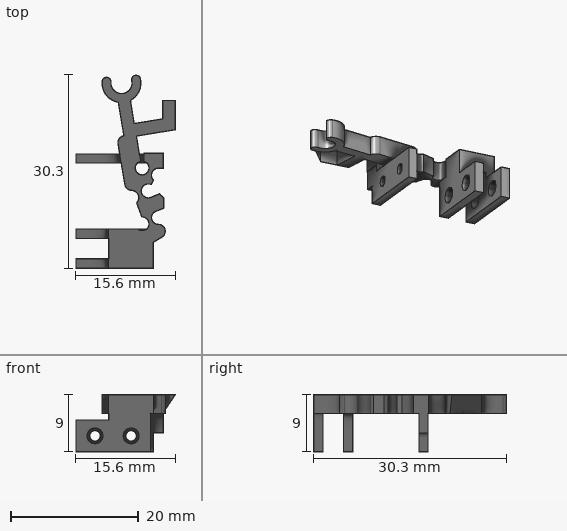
import cadquery as cq
import math

total_height = 9.0
slab_thickness = 3.0
slab_bottom = total_height - slab_thickness
ear_top = 5.02

block_left = 5.12
block_right = 12.15
block_back = 6.18

plate_thickness = 1.5
front_plate_right = 11.68
rear_plate_back = 17.95
rear_plate_thickness = 1.45
rear_plate_right = 12.15
rear_pad_right = 13.7
rear_pad_bottom = 3.0
hole_xs = (3.0, 8.65)
hole_z = 2.5
clevis_hole_radius = 1.25
rear_hole_radius = 0.82

relief_radius = 1.05
block_relief_center = (10.38, 6.95)
slot_relief_center = (10.38, 15.7)
slot_left = 10.15
slot_right = 10.7

ring_center = (7.15, 29.03)
ring_outer_radius = 3.05
ring_inner_radius = 1.63
ring_left_angle = 175
ring_right_angle = 13

hook_right = 15.6
hook_left = 13.6
hook_back = 26.35
hook_front = 21.7


def box(x0, x1, y0, y1, z0, z1):
    """Box given by its limits along each axis."""
    return cq.Workplane("XY").box(x1 - x0, y1 - y0, z1 - z0, centered=False).translate((x0, y0, z0))


def slab_cylinder(center, radius):
    """Upright cylinder through the thickness of the slab."""
    return cq.Workplane("XY", origin=(*center, slab_bottom)).circle(radius).extrude(slab_thickness)


def make_spine():
    """Block, notched spine, side hook and the arm up to the ring, as one slab."""
    spine = (
        cq.Workplane("XY", origin=(0, 0, slab_bottom))
        .moveTo(block_left, 0)
        .lineTo(block_right, 0)
        .lineTo(block_right, 4.05)
        .lineTo(13.45, 4.85)
        .threePointArc((14.0, 5.8), (12.93, 6.9))
        .threePointArc((11.87, 7.93), (12.55, 8.93))
        .lineTo(13.8, 9.4)
        .lineTo(13.8, 11.02)
        .lineTo(13.1, 11.68)
        .lineTo(11.7, 11.1)
        .threePointArc((10.25, 12.15), (11.8, 13.1))
        .lineTo(12.17, 13.83)
        .threePointArc((11.87, 14.7), (12.68, 15.65))
        .lineTo(rear_pad_right, 15.65)
        .lineTo(rear_pad_right, 18.05)
        .lineTo(slot_right, 18.05)
        .lineTo(slot_right, slot_relief_center[1])
        .lineTo(slot_left, slot_relief_center[1])
        .lineTo(slot_left, 16.83)
        .lineTo(9.5, 20.7)
        .lineTo(hook_right, hook_front)
        .lineTo(hook_right, hook_back)
        .lineTo(hook_left, hook_back)
        .lineTo(hook_left, 23.43)
        .lineTo(9.15, 22.7)
        .lineTo(8.57, 26.35)
        .lineTo(8.45, 26.95)
        .lineTo(6.48, 26.95)
        .lineTo(6.63, 26.0)
        .lineTo(7.5, 20.77)
        .threePointArc((6.85, 20.4), (6.585, 19.5))
        .lineTo(7.65, 13.1)
        .threePointArc((8.0, 12.5), (8.63, 12.2))
        .threePointArc((9.78, 11.4), (9.5, 10.25))
        .lineTo(10.32, 8.02)
        .lineTo(10.32, block_back)
        .lineTo(block_left, block_back)
        .close()
        .extrude(slab_thickness)
    )
    for center in (block_relief_center, slot_relief_center):
        spine = spine.cut(slab_cylinder(center, relief_radius))
    return spine


def make_ring():
    """C-shaped ring with round ends, open toward +Y."""
    middle_radius = (ring_outer_radius + ring_inner_radius) / 2
    end_radius = (ring_outer_radius - ring_inner_radius) / 2

    def at(radius, degrees):
        angle = math.radians(degrees)
        return (ring_center[0] + radius * math.cos(angle), ring_center[1] + radius * math.sin(angle))

    ring = (
        cq.Workplane("XY", origin=(0, 0, slab_bottom))
        .moveTo(*at(ring_outer_radius, ring_left_angle))
        .threePointArc(at(ring_outer_radius, -90), at(ring_outer_radius, ring_right_angle))
        .lineTo(*at(ring_inner_radius, ring_right_angle))
        .threePointArc(at(ring_inner_radius, -90), at(ring_inner_radius, ring_left_angle))
        .close()
        .extrude(slab_thickness)
    )
    for end_angle in (ring_left_angle, ring_right_angle):
        ring = ring.union(slab_cylinder(at(middle_radius, end_angle), end_radius))
    return ring


def make_hook_cut():
    """Wedge below the hook, sloping from its lower left edge to its upper right edge."""
    return (
        cq.Workplane("XZ", origin=(0, hook_back, 0))
        .polyline([(hook_left, slab_bottom), (hook_right, slab_bottom), (hook_right, total_height)])
        .close()
        .extrude(hook_back - hook_front + slab_thickness)
    )


def make_plate(back, thickness, step_x, right, hole_radius):
    """Stepped plate below the slab with two cross holes."""
    front = back - thickness
    plate = box(0, right, front, back, 0, ear_top)
    plate = plate.union(box(step_x, right, front, back, ear_top, slab_bottom))
    holes = (
        cq.Workplane("XZ", origin=(0, back, 0))
        .pushPoints([(x, hole_z) for x in hole_xs])
        .circle(hole_radius)
        .extrude(thickness)
    )
    return plate.cut(holes)


result = make_spine().union(make_ring()).cut(make_hook_cut())
for plate_back in (plate_thickness, block_back):
    result = result.union(
        make_plate(plate_back, plate_thickness, block_left, front_plate_right, clevis_hole_radius)
    )
result = result.union(
    make_plate(rear_plate_back, rear_plate_thickness, slot_right, rear_plate_right, rear_hole_radius)
)
rear_plate_front = rear_plate_back - rear_plate_thickness
result = result.union(
    box(rear_plate_right, rear_pad_right, rear_plate_front, rear_plate_back, rear_pad_bottom, slab_bottom)
)